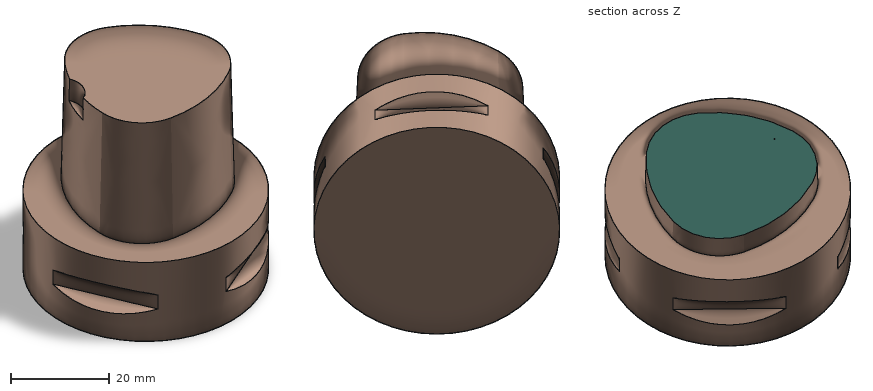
import cadquery as cq
import math

flange_diameter = 50
flange_height = 20

shank_height = 30
shank_inset = 0.75
nose_radius = 11.9
nose_center_distance = 6.7
side_radius = 28.2

notch_radius = 5
notch_depth = 5.45
notch_reach = 13.9

groove_count = 4
groove_first_angle = 45
groove_mid_height = 9.9
groove_floor_distance = 22.2
groove_floor_width = 3.5
groove_mouth_width = 7
groove_overrun = 0.5


def polar(radius, degrees):
    angle = math.radians(degrees)
    return cq.Vector(radius * math.cos(angle), radius * math.sin(angle))


def make_shank():
    half_spread = nose_center_distance * math.sin(math.radians(60))
    toward_side = nose_center_distance * math.cos(math.radians(60))
    side_center_distance = math.sqrt((side_radius - nose_radius) ** 2 - half_spread**2) - toward_side
    side_distance = side_radius - side_center_distance
    nose_distance = nose_center_distance + nose_radius

    tangent_angle = math.degrees(math.asin(half_spread / (side_radius - nose_radius)))

    def side_end(side_angle, turn):
        center = polar(-side_center_distance, side_angle)
        return (center + polar(side_radius, side_angle + turn)).toTuple()[:2]

    side_angles = (-90, 30, 150)
    outline = cq.Workplane("XY").workplane(offset=flange_height)
    outline = outline.moveTo(*side_end(side_angles[0], -tangent_angle))
    for side_angle in side_angles:
        side_mid = polar(side_distance, side_angle).toTuple()[:2]
        nose_mid = polar(nose_distance, side_angle + 60).toTuple()[:2]
        next_start = side_end(side_angle + 120, -tangent_angle)
        outline = outline.threePointArc(side_mid, side_end(side_angle, tangent_angle))
        outline = outline.threePointArc(nose_mid, next_start)

    taper = math.degrees(math.atan(shank_inset / shank_height))
    return outline.close().extrude(shank_height, taper=taper)


def make_notch():
    return (
        cq.Workplane("XY")
        .workplane(offset=flange_height + shank_height - notch_depth)
        .center(0, -notch_reach - notch_radius)
        .circle(notch_radius)
        .extrude(notch_depth)
    )


def make_groove(angle):
    flange_radius = flange_diameter / 2
    flank_slope = (groove_mouth_width - groove_floor_width) / 2 / (flange_radius - groove_floor_distance)
    outer_distance = flange_radius + groove_overrun
    floor_half = groove_floor_width / 2
    outer_half = floor_half + flank_slope * (outer_distance - groove_floor_distance)
    return (
        cq.Workplane("XZ")
        .moveTo(groove_floor_distance, groove_mid_height - floor_half)
        .lineTo(outer_distance, groove_mid_height - outer_half)
        .lineTo(outer_distance, groove_mid_height + outer_half)
        .lineTo(groove_floor_distance, groove_mid_height + floor_half)
        .close()
        .extrude(flange_radius, both=True)
        .rotate((0, 0, 0), (0, 0, 1), angle)
    )


flange = cq.Workplane("XY").circle(flange_diameter / 2).extrude(flange_height)
result = flange.union(make_shank()).cut(make_notch())
for index in range(groove_count):
    result = result.cut(make_groove(groove_first_angle + index * 360 / groove_count))